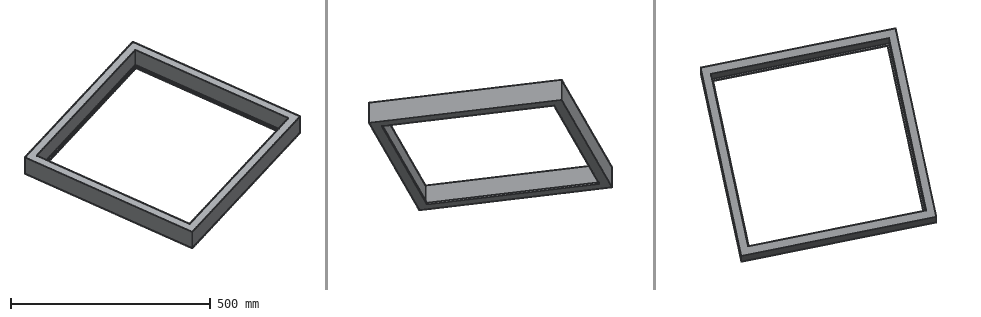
import cadquery as cq

side = 500.0
height = 57.0
wall = 21.5
ledge_width = 5.0
ledge_thickness = 5.0

opening = side - 2 * wall
ledge_opening = opening - 2 * ledge_width


def square_block(width, bottom, top):
    """Square block centred on the Z axis between two heights."""
    return cq.Workplane("XY").workplane(offset=bottom).rect(width, width).extrude(top - bottom)


frame = square_block(side, 0, height)
upper_opening = square_block(opening, ledge_thickness, height)
lower_opening = square_block(ledge_opening, 0, ledge_thickness)

result = frame.cut(upper_opening).cut(lower_opening)